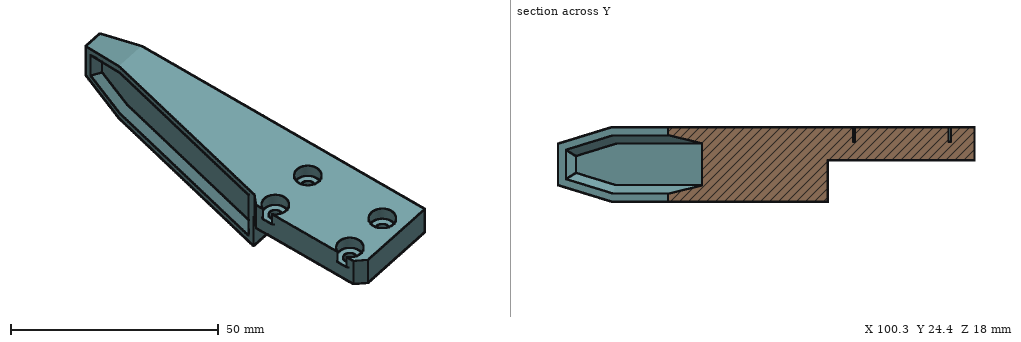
import cadquery as cq
import math

total_length = 100.3
total_width = 24.4
body_height = 18.0

plate_length = 35.0
plate_thickness = 8.0
corner_chamfer = 2.5
plate_start = total_length - plate_length

body_length = 65.0
body_width = total_width - corner_chamfer
tip_width = 5.5
nose_length = 13.0
nose_drop = 4.0

slope = math.atan2(body_width - tip_width, body_length)
slant_length = body_length / math.cos(slope)
slant_nose_length = nose_length / math.cos(slope)

rim_thickness = 2.0
pocket_depth = 2.0
pocket_draft = 45.0

hole_diameter = 3.2
counterbore_diameter = 6.6
counterbore_depth = 3.5
hole_columns = 2
hole_rows = 2
hole_spacing_x = 23.0
hole_spacing_y = 12.5
hole_end_margin = 6.0
hole_front_margin = 3.0
last_hole_x = total_length - hole_end_margin
front_hole_y = hole_front_margin - total_width


def side_outline(workplane, length, nose):
    """Side outline of the body, tapering symmetrically to a blunt nose at the start."""
    return workplane.polyline([
        (0, nose_drop - body_height),
        (nose, -body_height),
        (length, -body_height),
        (length, 0),
        (nose, 0),
        (0, -nose_drop),
    ]).close()


def make_body():
    """Wedge whose side profile narrows at the nose and whose front face is slanted."""
    profile = side_outline(cq.Workplane("XZ"), body_length, nose_length).extrude(body_width)
    wedge = (
        cq.Workplane("XY")
        .polyline([(0, 0), (body_length, 0), (body_length, -body_width), (0, -tip_width)])
        .close()
        .extrude(-body_height)
    )
    return profile.intersect(wedge)


def make_plate():
    """Flat plate reaching back to the body, with its two front corners chamfered."""
    return (
        cq.Workplane("XY")
        .polyline([
            (body_length, 0),
            (total_length, 0),
            (total_length, -body_width),
            (total_length - corner_chamfer, -total_width),
            (plate_start + corner_chamfer, -total_width),
            (plate_start, -body_width),
            (body_length, -body_width),
        ])
        .close()
        .extrude(-plate_thickness)
    )


def make_pocket():
    """Drafted pocket volume that leaves an even rim around the slanted face."""
    slanted_face = cq.Plane(
        origin=(0, -tip_width, 0),
        xDir=(math.cos(slope), -math.sin(slope), 0),
        normal=(-math.sin(slope), -math.cos(slope), 0),
    )
    return (
        side_outline(cq.Workplane(slanted_face), slant_length, slant_nose_length)
        .offset2D(-rim_thickness)
        .extrude(-pocket_depth, taper=pocket_draft)
    )


def cut_screw_holes(part):
    """Grid of through holes counterbored from the top face; the front row breaks out."""
    for column in range(hole_columns):
        for row in range(hole_rows):
            x = last_hole_x - column * hole_spacing_x
            y = front_hole_y + row * hole_spacing_y
            center = cq.Workplane("XY").center(x, y)
            part = part.cut(center.circle(hole_diameter / 2).extrude(-plate_thickness))
            part = part.cut(center.circle(counterbore_diameter / 2).extrude(-counterbore_depth))
    return part


body_with_plate = make_body().union(make_plate())
result = cut_screw_holes(body_with_plate.cut(make_pocket()))